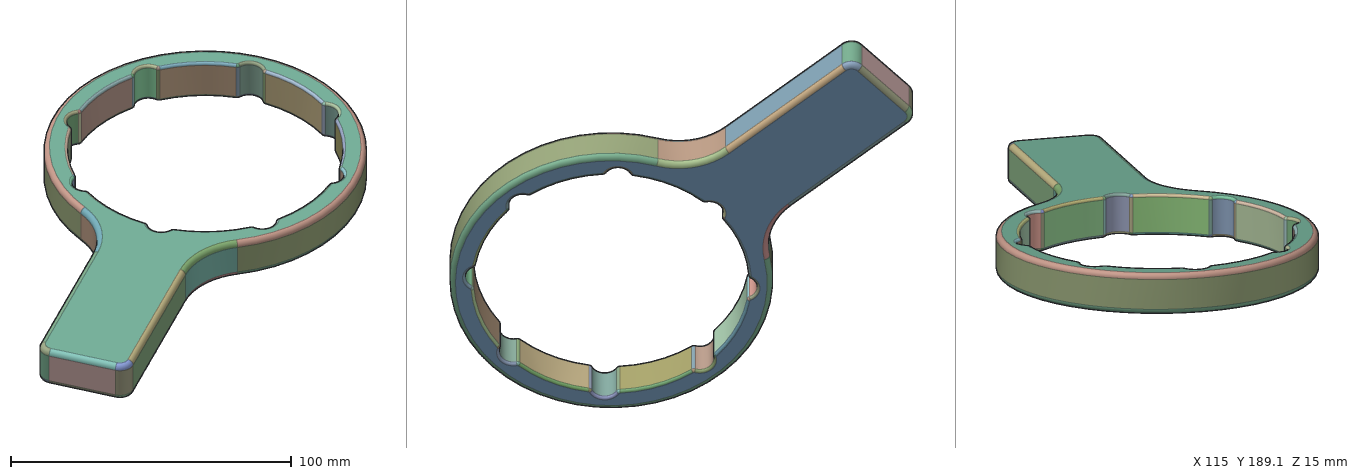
import cadquery as cq
import math

thickness = 15.0
ring_outer_radius = 57.5
ring_bore_radius = 49.0

notch_count = 8
notch_radius = 5.0
notch_depth = 3.0
notch_corner_radius = 1.5

handle_width = 35.0
handle_end_y = -131.62
handle_corner_radius = 5.0
neck_radius = 25.0

outer_edge_radius = 2.0
bore_edge_radius = 1.0


def make_outer_body():
    """Ring disc and handle in one outline, with a tangent neck arc on each side."""
    half_width = handle_width / 2
    neck_centre_x = half_width + neck_radius
    centre_distance = ring_outer_radius + neck_radius
    neck_centre_y = -math.sqrt(centre_distance**2 - neck_centre_x**2)

    ring_share = ring_outer_radius / centre_distance
    tangent_x = neck_centre_x * ring_share
    tangent_y = neck_centre_y * ring_share

    direction_to_ring = math.atan2(-neck_centre_y, -neck_centre_x)
    middle_direction = (math.pi + direction_to_ring) / 2
    neck_middle_x = neck_centre_x + neck_radius * math.cos(middle_direction)
    neck_middle_y = neck_centre_y + neck_radius * math.sin(middle_direction)

    body = (
        cq.Workplane("XY")
        .moveTo(-half_width, handle_end_y)
        .lineTo(half_width, handle_end_y)
        .lineTo(half_width, neck_centre_y)
        .threePointArc((neck_middle_x, neck_middle_y), (tangent_x, tangent_y))
        .threePointArc((0, ring_outer_radius), (-tangent_x, tangent_y))
        .threePointArc((-neck_middle_x, neck_middle_y), (-half_width, neck_centre_y))
        .close()
        .extrude(thickness)
    )
    body = body.edges("|Z").edges("<Y").fillet(handle_corner_radius)
    return body.faces("<Z or >Z").edges().fillet(outer_edge_radius)


def make_bore():
    """Through bore with round notches whose corners blend into the bore wall."""
    notch_centre_radius = ring_bore_radius + notch_depth - notch_radius
    bore = cq.Workplane("XY").circle(ring_bore_radius).extrude(thickness)
    notches = (
        cq.Workplane("XY")
        .polarArray(notch_centre_radius, 0, 360, notch_count)
        .circle(notch_radius)
        .extrude(thickness)
    )
    return bore.union(notches).edges("|Z").fillet(notch_corner_radius)


def round_bore_edges(body):
    """Round the top and bottom rims of the notched bore."""
    notch_reach = ring_bore_radius + notch_depth
    outer_edge_line_radius = ring_outer_radius - outer_edge_radius
    reach = (notch_reach + outer_edge_line_radius) / 2
    rim_edges = cq.selectors.BoxSelector(
        (-reach, -reach, -thickness), (reach, reach, 2 * thickness), boundingbox=True
    )
    return body.faces("<Z or >Z").edges(rim_edges).fillet(bore_edge_radius)


result = round_bore_edges(make_outer_body().cut(make_bore()))